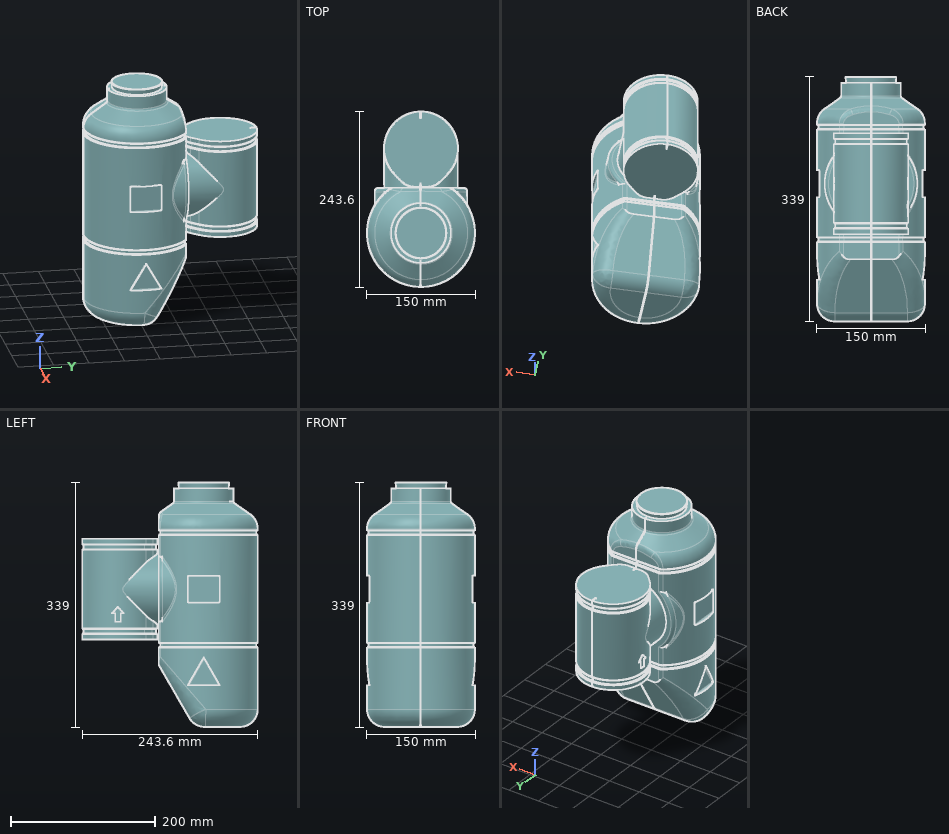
import cadquery as cq
import math

body_radius = 75.0
neck_radius = 41.5
neck_top_z = 330.8
shoulder_corner_z = 287.5
cone_angle = math.radians(35)
round_radius = 25.0
neck_fillet = 3.5
flat_y = 62.5
flat_fillet = 10.0
start_line_angle = -120
slant_base_y = 12.8
slant_angle = math.radians(60)

total_height = 339.0
cap_top_radius = 35.5
cap_bottom_radius = 34.6
cap_chamfer = 0.8

pipe_radius = 51.5
pipe_y = 117.1
pipe_front_y = 64.0
pipe_length = 140.0
pipe_mid_z = 191.2
pipe_front_blend = 23.0

connector_radius = 51.3
flange_radius = 64.2
flange_fillet = 5.0
flange_root_fillet = 3.5

groove_depth = 2.0
groove_bevel = 1.0
body_groove_width = 5.0
body_groove_centres = (113.5, 269.5)
pipe_groove_width = 6.0
pipe_collar_height = 8.6

seam_width = 1.0
seam_x = -0.5
seam_depth = 3.0
pipe_seam_back_depth = 9.0
pipe_seam_front_depth = 4.7

window_floor_x = 70.5
window_floor_fillet = 1.0
square_width = 44.5
square_height = 37.5
square_corner = 2.0
square_z = 191.2
triangle_width = 44.0
triangle_height = 38.5
triangle_base_z = 58.0

arrow_y = 119.0
arrow_base_z = 146.0
arrow_length = 20.5
arrow_head_length = 9.0
arrow_head_width = 16.5
arrow_stem_width = 7.5
arrow_depth = 0.5

reach = 400.0


def turned_body(inset):
    """Solid of revolution for wall, shoulder cone and neck, offset inwards by inset."""
    wall_r = body_radius - inset
    neck_r = neck_radius - inset
    wall_top_z = shoulder_corner_z + (inset * math.sin(cone_angle) - inset) / math.cos(cone_angle)
    cone_top_z = wall_top_z + (wall_r - neck_r) * math.tan(cone_angle)

    shoulder_r = round_radius - inset
    root_r = neck_fillet + inset
    turn = math.pi / 2 - cone_angle
    shoulder_leg = shoulder_r * math.tan(turn / 2)
    root_leg = root_r * math.tan(turn / 2)
    along_r = math.cos(cone_angle)
    along_z = math.sin(cone_angle)

    wall_end_z = wall_top_z - shoulder_leg
    neck_start_z = cone_top_z + root_leg
    shoulder_mid = (
        wall_r - shoulder_r * (1 - math.cos(turn / 2)),
        wall_end_z + shoulder_r * math.sin(turn / 2),
    )
    root_mid = (
        neck_r + root_r * (1 - math.cos(turn / 2)),
        neck_start_z - root_r * math.sin(turn / 2),
    )
    cone_start = (wall_r - shoulder_leg * along_r, wall_top_z + shoulder_leg * along_z)
    cone_end = (neck_r + root_leg * along_r, cone_top_z - root_leg * along_z)
    half = (
        cq.Workplane("XZ")
        .moveTo(0, inset)
        .lineTo(wall_r, inset)
        .lineTo(wall_r, wall_end_z)
        .threePointArc(shoulder_mid, cone_start)
        .lineTo(*cone_end)
        .threePointArc(root_mid, (neck_r, neck_start_z))
        .lineTo(neck_r, neck_top_z)
        .lineTo(0, neck_top_z)
        .close()
    )
    turned = half.revolve(360, (0, 0, 0), (0, 1, 0))
    return turned.rotate((0, 0, 0), (0, 0, 1), start_line_angle)


def space_behind_slant(inset):
    """Everything behind the slanted face after moving that face inwards by inset."""
    foot_y = slant_base_y - inset / math.sin(slant_angle)
    top_y = foot_y + reach / math.tan(slant_angle)
    return (
        cq.Workplane("YZ")
        .polyline([(foot_y, 0), (reach, 0), (reach, reach), (top_y, reach)])
        .close()
        .extrude(reach, both=True)
    )


def space_behind_flat(inset):
    """Everything behind the back flat after moving it inwards by inset."""
    return cq.Workplane("XZ", origin=(0, flat_y - inset, 0)).rect(2 * reach, 2 * reach).extrude(-reach)


def rounded_base_body(inset):
    """Body with the back flat, the slanted face and the rounding around base and slant."""
    solid = turned_body(inset).cut(space_behind_flat(inset)).cut(space_behind_slant(inset))
    base_rim = solid.faces("<Z").edges().vals()
    slant_sides = solid.edges("%ELLIPSE").vals()
    return solid.newObject(base_rim + slant_sides).fillet(round_radius - inset)


def body(inset):
    """Complete body without grooves, offset inwards by inset."""
    rounded_flat_body = (
        turned_body(inset).cut(space_behind_flat(inset)).faces(">Y").edges().fillet(flat_fillet)
    )
    return rounded_base_body(inset).intersect(rounded_flat_body)


def pipe(inset):
    """Upright pipe with a flat front and 45 degree sides, offset inwards by inset."""
    r = pipe_radius - inset
    front = pipe_y - pipe_front_y - inset
    blend_r = pipe_front_blend - inset
    eighth = math.radians(45)
    tangent = r * math.sin(eighth)
    corner_x = r / math.cos(eighth) - front
    blend_leg = blend_r * math.tan(eighth / 2)
    flat_x = corner_x - blend_leg
    side_x = corner_x + blend_leg * math.cos(eighth)
    side_y = blend_leg * math.sin(eighth) - front
    mid_x = flat_x + blend_r * math.sin(eighth / 2)
    mid_y = blend_r * (1 - math.cos(eighth / 2)) - front
    bottom_z = pipe_mid_z - pipe_length / 2
    return (
        cq.Workplane("XY", origin=(0, pipe_y, bottom_z))
        .moveTo(-flat_x, -front)
        .lineTo(flat_x, -front)
        .threePointArc((mid_x, mid_y), (side_x, side_y))
        .lineTo(tangent, -tangent)
        .threePointArc((0, r), (-tangent, -tangent))
        .lineTo(-side_x, side_y)
        .threePointArc((-mid_x, mid_y), (-flat_x, -front))
        .close()
        .extrude(pipe_length)
    )


def slab(centre_z, height):
    """Wide horizontal slab, used to limit a groove to its height."""
    return cq.Workplane("XY").box(2 * reach, 2 * reach, height).translate((0, 0, centre_z))


def cut_grooves(solid, make_core, centres, width):
    """Grooves with a bevelled mouth, following the outline of the solid."""
    for depth, height in ((groove_depth, width), (groove_bevel, width + 2 * groove_bevel)):
        core = make_core(depth)
        for centre in centres:
            solid = solid.cut(slab(centre, height).cut(core))
    return solid


def disc_behind_axis(radius, back_y):
    """Disc with its axis along Y at mid pipe height, from the body axis to back_y."""
    return cq.Workplane("XZ", origin=(0, back_y, pipe_mid_z)).circle(radius).extrude(back_y)


def flange():
    """Round pad on the back of the body, flush with the flat and blended into the wall."""
    wall = (
        cq.Workplane("XY", origin=(0, 0, pipe_mid_z))
        .circle(body_radius)
        .extrude(body_radius, both=True)
        .rotate((0, 0, 0), (0, 0, 1), start_line_angle)
    )
    blended = wall.union(disc_behind_axis(flange_radius, 2 * body_radius))
    margin = 1.0
    root = cq.selectors.BoxSelector(
        (-body_radius, 0, pipe_mid_z - flange_radius - margin),
        (body_radius, body_radius + margin, pipe_mid_z + flange_radius + margin),
        boundingbox=True,
    )
    blended = blended.edges(root).fillet(flange_root_fillet)
    rounded_rim = disc_behind_axis(flange_radius, flat_y).faces(">Y").edges().fillet(flange_fillet)
    root_zone = disc_behind_axis(flange_radius + 2 * flange_root_fillet, flat_y - flange_fillet)
    return blended.intersect(root_zone.union(rounded_rim))


def cut_body_seam(solid):
    """Narrow slit of even depth all around the body beside the plane X = 0."""
    above_neck = slab(neck_top_z + reach / 2, reach)
    sheet = cq.Workplane("XY").box(seam_width, 2 * reach, 2 * reach).translate((seam_x, 0, 0))
    return solid.cut(sheet.cut(body(seam_depth)).cut(above_neck))


def square_window():
    """Cutter for the rectangular label window on the +X side."""
    return (
        cq.Workplane("YZ", origin=(window_floor_x, 0, square_z))
        .rect(square_width, square_height)
        .extrude(body_radius)
        .edges("|X")
        .fillet(square_corner)
    )


def triangle_window():
    """Cutter for the triangular label window on the +X side."""
    return (
        cq.Workplane("YZ", origin=(window_floor_x, 0, triangle_base_z))
        .polyline([(-triangle_width / 2, 0), (triangle_width / 2, 0), (0, triangle_height)])
        .close()
        .extrude(body_radius)
    )


def cut_windows(solid):
    """Label windows, the same on the +X and -X sides."""
    for window in (square_window(), triangle_window()):
        cutter = window.faces("<X").edges().fillet(window_floor_fillet)
        solid = solid.cut(cutter).cut(cutter.mirror("YZ"))
    return solid


def cap():
    """Cap standing on the neck, slightly wider at its top."""
    return (
        cq.Workplane("XY", origin=(0, 0, neck_top_z))
        .circle(cap_bottom_radius)
        .workplane(offset=total_height - neck_top_z)
        .circle(cap_top_radius)
        .loft()
        .faces(">Z")
        .edges()
        .chamfer(cap_chamfer)
    )


def cut_pipe_seam(solid):
    """Upright slits in the front and the back of the pipe beside the plane X = 0."""
    back_y = pipe_y + pipe_radius
    for wall_y, depth in ((pipe_front_y, pipe_seam_front_depth), (back_y, pipe_seam_back_depth)):
        slit = cq.Workplane("XY").box(seam_width, 2 * depth, 2 * reach)
        solid = solid.cut(slit.translate((seam_x, wall_y, 0)))
    return solid


def cut_flow_arrow(solid):
    """Shallow arrow pointing up, sunk into the -X side of the pipe."""
    head_z = arrow_length - arrow_head_length
    stem = arrow_stem_width / 2
    head = arrow_head_width / 2
    arrow = (
        cq.Workplane("YZ", origin=(-pipe_radius, arrow_y, arrow_base_z))
        .polyline([
            (-stem, 0),
            (stem, 0),
            (stem, head_z),
            (head, head_z),
            (0, arrow_length),
            (-head, head_z),
            (-stem, head_z),
        ])
        .close()
        .extrude(2 * arrow_depth, both=True)
    )
    return solid.cut(arrow.cut(pipe(arrow_depth)))


def finished_body():
    """Body with grooves, back pad, seam, label windows and cap."""
    solid = cut_grooves(body(0), body, body_groove_centres, body_groove_width)
    solid = solid.union(flange())
    solid = cut_body_seam(solid)
    return cut_windows(solid).union(cap())


def finished_pipe():
    """Pipe with grooves below its end collars, seam and flow arrow."""
    offset = pipe_length / 2 - pipe_collar_height - pipe_groove_width / 2
    centres = (pipe_mid_z - offset, pipe_mid_z + offset)
    solid = cut_grooves(pipe(0), pipe, centres, pipe_groove_width)
    return cut_flow_arrow(cut_pipe_seam(solid))


def connector():
    """Round cross tube from the middle of the pipe to the flat of the body."""
    return (
        cq.Workplane("XZ", origin=(0, pipe_y, pipe_mid_z))
        .circle(connector_radius)
        .extrude(pipe_y - flat_y)
    )


result = finished_body().union(finished_pipe()).union(connector())